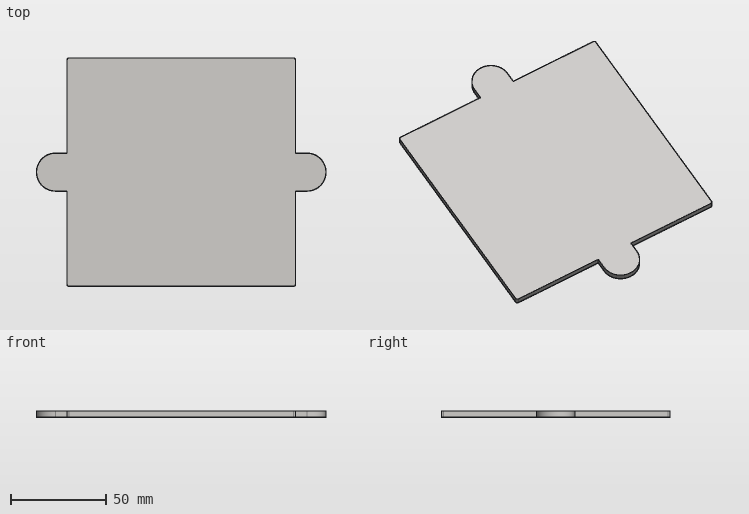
import cadquery as cq

overall_length = 152.0
plate_side = 120.0
thickness = 3.5
corner_radius = 1.0
tab_width = 20.0

plate = (
    cq.Workplane("XY")
    .rect(plate_side, plate_side)
    .extrude(thickness)
    .edges("|Z")
    .fillet(corner_radius)
)

tabs = cq.Workplane("XY").slot2D(overall_length, tab_width).extrude(thickness)

result = plate.union(tabs)